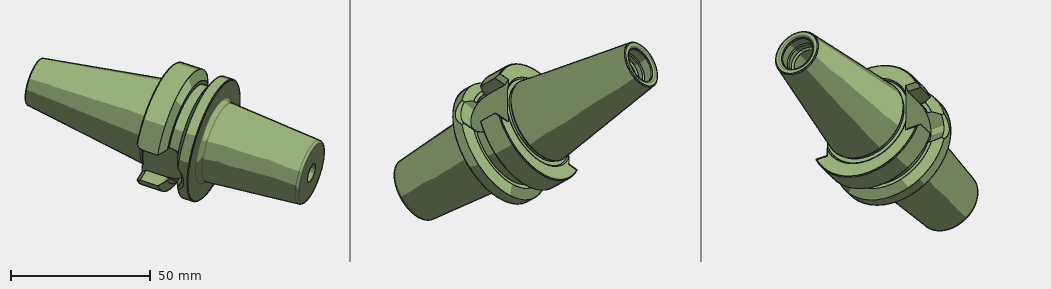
import cadquery as cq
import math

TOTAL_LENGTH = 108.4

TAPER_RATE = 7 / 24 / 2
TAPER_END_X = 48.3
GAUGE_DIAMETER = 31.8
TAPER_LARGE_RADIUS = GAUGE_DIAMETER / 2
TAPER_SMALL_RADIUS = TAPER_LARGE_RADIUS - TAPER_RATE * TAPER_END_X
SHANK_EDGE = 0.3
NECK_RADIUS = 15.4

FLANGE_START_X = 49.3
FLANGE_END_X = 70.2
FLANGE_RADIUS = 23.0
FLANGE_EDGE = 0.3
BACK_EDGE = 0.3
RECESS_OUTER_RADIUS = 17.6
RECESS_INNER_RADIUS = 17.0
RECESS_DEPTH = 0.4

GROOVE_START_X = 57.9
GROOVE_END_X = 66.1
GROOVE_BEVEL = 2.1
GROOVE_BEVEL_ANGLE = 60
GROOVE_RADIUS = 18.0
GROOVE_BEVEL_RADIUS = FLANGE_RADIUS - GROOVE_BEVEL * math.tan(math.radians(GROOVE_BEVEL_ANGLE))

NOSE_START_X = 72.2
NOSE_START_RADIUS = 14.9
NOSE_END_RADIUS = 12.0
NOSE_EDGE = 1.0
NOSE_ROOT_RADIUS = 16.2

SLOT_HALF_WIDTH = 8.0
SLOT_FLOOR = 16.3
SLOT_TIP_X = 67.3
SLOT_MOUTH_CHAMFER = 1.6
SLOT_FLARE_START = 21.6

MOUTH_ROUNDING = 0.7
MOUTH_RADIUS = 6.6
COUNTERBORE_RADIUS = 6.4
COUNTERBORE_START = 1.1
COUNTERBORE_END = 4.3
THREAD_RELIEF_RADIUS = 6.0
THREAD_RELIEF_END = 6.5
THREAD_RADIUS = 5.1
THREAD_LEAD_IN = 0.5
THREAD_END = 23.8
PILOT_RADIUS = 4.0
PILOT_END = 32.5
THROUGH_RADIUS = 3.5


def make_body():
    """Solid of revolution of the outer shape."""
    nose_edge_x = TOTAL_LENGTH - NOSE_EDGE
    root_middle = (
        NOSE_START_X - (NOSE_START_X - FLANGE_END_X) * math.cos(math.pi / 4),
        NOSE_ROOT_RADIUS - (NOSE_ROOT_RADIUS - NOSE_START_RADIUS) * math.sin(math.pi / 4),
    )
    profile = (
        cq.Workplane("XY")
        .moveTo(0, 0)
        .lineTo(0, TAPER_SMALL_RADIUS - SHANK_EDGE)
        .lineTo(SHANK_EDGE, TAPER_SMALL_RADIUS + TAPER_RATE * SHANK_EDGE)
        .lineTo(TAPER_END_X, TAPER_LARGE_RADIUS)
        .lineTo(TAPER_END_X + TAPER_LARGE_RADIUS - NECK_RADIUS, NECK_RADIUS)
        .lineTo(FLANGE_START_X + RECESS_DEPTH, NECK_RADIUS)
        .lineTo(FLANGE_START_X + RECESS_DEPTH, RECESS_INNER_RADIUS)
        .lineTo(FLANGE_START_X, RECESS_OUTER_RADIUS)
        .lineTo(FLANGE_START_X, FLANGE_RADIUS - FLANGE_EDGE)
        .lineTo(FLANGE_START_X + FLANGE_EDGE, FLANGE_RADIUS)
        .lineTo(GROOVE_START_X, FLANGE_RADIUS)
        .lineTo(GROOVE_START_X + GROOVE_BEVEL, GROOVE_BEVEL_RADIUS)
        .lineTo(GROOVE_START_X + GROOVE_BEVEL, GROOVE_RADIUS)
        .lineTo(GROOVE_END_X - GROOVE_BEVEL, GROOVE_RADIUS)
        .lineTo(GROOVE_END_X - GROOVE_BEVEL, GROOVE_BEVEL_RADIUS)
        .lineTo(GROOVE_END_X, FLANGE_RADIUS)
        .lineTo(FLANGE_END_X - BACK_EDGE, FLANGE_RADIUS)
        .lineTo(FLANGE_END_X, FLANGE_RADIUS - BACK_EDGE)
        .lineTo(FLANGE_END_X, NOSE_ROOT_RADIUS)
        .threePointArc(root_middle, (NOSE_START_X, NOSE_START_RADIUS))
        .lineTo(nose_edge_x, NOSE_END_RADIUS)
        .radiusArc((TOTAL_LENGTH, NOSE_END_RADIUS - NOSE_EDGE), NOSE_EDGE)
        .lineTo(TOTAL_LENGTH, 0)
        .close()
    )
    return profile.revolve(360, (0, 0, 0), (1, 0, 0))


def make_bore():
    """Stepped bore running the whole length of the part."""
    profile = (
        cq.Workplane("XY")
        .moveTo(0, 0)
        .lineTo(0, MOUTH_RADIUS + MOUTH_ROUNDING)
        .radiusArc((MOUTH_ROUNDING, MOUTH_RADIUS), -MOUTH_ROUNDING)
        .lineTo(COUNTERBORE_START, COUNTERBORE_RADIUS)
        .lineTo(COUNTERBORE_END, COUNTERBORE_RADIUS)
        .lineTo(COUNTERBORE_END + COUNTERBORE_RADIUS - THREAD_RELIEF_RADIUS, THREAD_RELIEF_RADIUS)
        .lineTo(THREAD_RELIEF_END, THREAD_RELIEF_RADIUS)
        .lineTo(THREAD_RELIEF_END + THREAD_LEAD_IN, THREAD_RADIUS)
        .lineTo(THREAD_END, THREAD_RADIUS)
        .lineTo(THREAD_END + THREAD_RADIUS - PILOT_RADIUS, PILOT_RADIUS)
        .lineTo(PILOT_END, PILOT_RADIUS)
        .lineTo(PILOT_END + PILOT_RADIUS - THROUGH_RADIUS, THROUGH_RADIUS)
        .lineTo(TOTAL_LENGTH, THROUGH_RADIUS)
        .lineTo(TOTAL_LENGTH, 0)
        .close()
    )
    return profile.revolve(360, (0, 0, 0), (1, 0, 0))


def make_slot():
    """Cutter for the drive slot on the -Y side."""
    depth = FLANGE_RADIUS - SLOT_FLOOR
    arc_x = SLOT_TIP_X - SLOT_HALF_WIDTH
    mouth = SLOT_HALF_WIDTH + SLOT_MOUTH_CHAMFER
    mouth_end_x = FLANGE_START_X + SLOT_MOUTH_CHAMFER
    floor_plane = cq.Workplane("XZ", origin=(0, -SLOT_FLOOR, 0))
    slot = (
        floor_plane
        .moveTo(FLANGE_START_X, -mouth)
        .lineTo(mouth_end_x, -SLOT_HALF_WIDTH)
        .lineTo(arc_x, -SLOT_HALF_WIDTH)
        .threePointArc((SLOT_TIP_X, 0), (arc_x, SLOT_HALF_WIDTH))
        .lineTo(mouth_end_x, SLOT_HALF_WIDTH)
        .lineTo(FLANGE_START_X, mouth)
        .close()
        .extrude(depth)
    )
    flare_height = FLANGE_RADIUS - SLOT_FLARE_START
    flare = cq.Workplane(
        cq.Solid.makeCone(
            SLOT_HALF_WIDTH,
            SLOT_HALF_WIDTH + flare_height,
            flare_height,
            cq.Vector(arc_x, -SLOT_FLARE_START, 0),
            cq.Vector(0, -1, 0),
        )
    )
    return slot.union(flare)


slot = make_slot()
result = make_body().cut(make_bore()).cut(slot).cut(slot.mirror("XZ"))